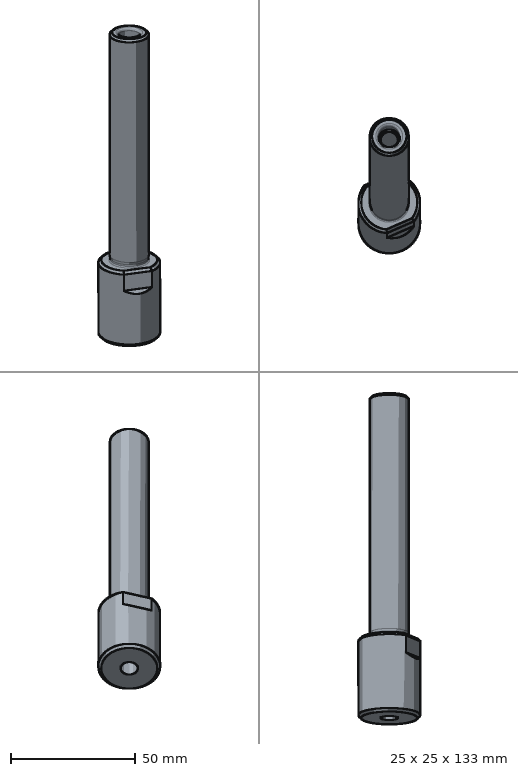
import cadquery as cq

total_length = 133.0
collar_diameter = 25.0
collar_length = 33.0
edge_chamfer = 1.2

shaft_diameter = 15.8
shaft_chamfer = 1.0

neck_diameter = 15.5
taper_top_height = 2.3
taper_bottom_height = 1.26
neck_fillet = 0.47

bore_diameter = 6.9
counterbore_diameter = 8.5
counterbore_depth = 5.0
mouth_fillet = 1.13

flat_width = 22.0
flat_length = 8.2

collar_radius = collar_diameter / 2
shaft_radius = shaft_diameter / 2
neck_radius = neck_diameter / 2
bottom = -total_length / 2
top = bottom + total_length
collar_top = bottom + collar_length
taper_top = collar_top + taper_top_height
taper_bottom = collar_top + taper_bottom_height


def turned_body():
    """Collar, neck and shaft as one revolved profile."""
    return (
        cq.Workplane("XZ")
        .moveTo(0, bottom)
        .lineTo(collar_radius - edge_chamfer, bottom)
        .lineTo(collar_radius, bottom + edge_chamfer)
        .lineTo(collar_radius, collar_top - edge_chamfer)
        .lineTo(collar_radius - edge_chamfer, collar_top)
        .lineTo(neck_radius + neck_fillet, collar_top)
        .radiusArc((neck_radius, collar_top + neck_fillet), neck_fillet)
        .lineTo(neck_radius, taper_bottom)
        .lineTo(shaft_radius, taper_top)
        .lineTo(shaft_radius, top - shaft_chamfer)
        .lineTo(shaft_radius - shaft_chamfer, top)
        .lineTo(0, top)
        .close()
        .revolve(360, (0, 0), (0, 1))
    )


def stepped_bore():
    """Through bore with a rounded, cone-floored counterbore at the shaft end."""
    bore_radius = bore_diameter / 2
    counterbore_radius = counterbore_diameter / 2
    counterbore_floor = top - counterbore_depth
    floor_drop = counterbore_radius - bore_radius
    return (
        cq.Workplane("XZ")
        .moveTo(0, bottom)
        .lineTo(bore_radius, bottom)
        .lineTo(bore_radius, counterbore_floor - floor_drop)
        .lineTo(counterbore_radius, counterbore_floor)
        .lineTo(counterbore_radius, top - mouth_fillet)
        .radiusArc((counterbore_radius + mouth_fillet, top), mouth_fillet)
        .lineTo(0, top)
        .close()
        .revolve(360, (0, 0), (0, 1))
    )


def wrench_flat(side):
    """Cutter for one flat; side is +1 for +X and -1 for -X.

    The flat follows the collar's top chamfer, so the chamfer keeps its width.
    """
    flat_x = flat_width / 2
    flat_bottom = collar_top - flat_length
    outside = collar_radius + edge_chamfer
    return (
        cq.Workplane("XZ")
        .moveTo(side * (flat_x - edge_chamfer), collar_top)
        .lineTo(side * flat_x, collar_top - edge_chamfer)
        .lineTo(side * flat_x, flat_bottom)
        .lineTo(side * outside, flat_bottom - (outside - flat_x))
        .lineTo(side * outside, collar_top)
        .close()
        .extrude(collar_radius, both=True)
    )


result = turned_body().cut(stepped_bore())
for side in (-1, 1):
    result = result.cut(wrench_flat(side))